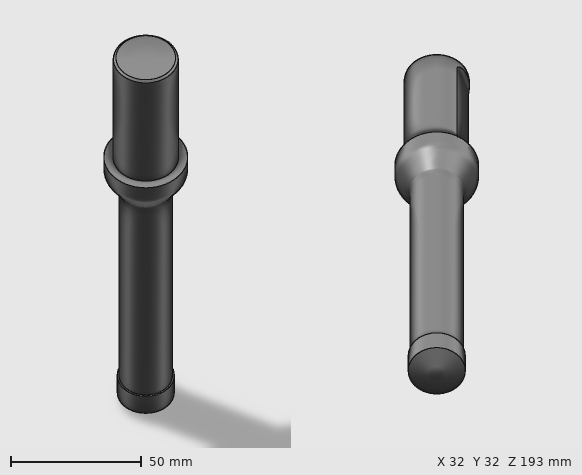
import cadquery as cq
import math

total_length = 193.0

head_diameter = 21.8
point_height = 3.5
head_top = 13.1

neck_diameter = 20.5
neck_top = 116.2
flare_diameter = 21.6
flare_bottom = 119.7
collar_diameter = 32.0
collar_bottom = 130.5
collar_top = 136.8
flare_angle = math.radians(30)

shank_diameter = 25.0
bevel_height = 2.5
bevel_inset = 0.2
step_height = 1.4
step_inset = 0.1
chamfer_height = 0.8
end_diameter = 22.8

flat_distance = 10.5
flat_bottom = 140.5
flat_top = 189.3
flat_fillet_diameter = 4.8


def make_head():
    """Short cylinder with a conical point."""
    radius = head_diameter / 2
    return (
        cq.Workplane("XZ")
        .moveTo(0, 0)
        .lineTo(radius, point_height)
        .lineTo(radius, head_top)
        .lineTo(0, head_top)
        .close()
        .revolve(360, (0, 0, 0), (0, 1, 0))
    )


def make_flat_cutter():
    """Slot across the shank, rounded at both ends of its floor."""
    depth = shank_diameter / 2 - flat_distance
    cutter_depth = 2 * depth
    return (
        cq.Workplane("XY")
        .box(shank_diameter, cutter_depth, flat_top - flat_bottom, centered=(True, False, False))
        .translate((0, flat_distance, flat_bottom))
        .edges("|X and <Y")
        .fillet(flat_fillet_diameter / 2)
    )


def make_holder():
    """Neck, flared collar and shank, turned about Z, with the clamping flat."""
    collar_radius = collar_diameter / 2
    flare_height = collar_bottom - flare_bottom
    flare_width = (collar_diameter - flare_diameter) / 2
    shoulder_radius = (flare_height * math.sin(flare_angle) - flare_width * math.cos(flare_angle)) / (
        1 - math.cos(flare_angle)
    )
    cone_top_radius = collar_radius - shoulder_radius * (1 - math.cos(flare_angle))
    cone_top = collar_bottom - shoulder_radius * math.sin(flare_angle)

    turned = (
        cq.Workplane("XZ")
        .moveTo(0, head_top)
        .lineTo(neck_diameter / 2, head_top)
        .lineTo(neck_diameter / 2, neck_top)
        .tangentArcPoint((flare_diameter / 2, flare_bottom), relative=False)
        .lineTo(cone_top_radius, cone_top)
        .tangentArcPoint((collar_radius, collar_bottom), relative=False)
        .lineTo(collar_radius, collar_top)
        .lineTo(shank_diameter / 2, collar_top)
        .lineTo(shank_diameter / 2, total_length - bevel_height)
        .lineTo(shank_diameter / 2 - step_inset, total_length - step_height)
        .lineTo(shank_diameter / 2 - bevel_inset, total_length - chamfer_height)
        .lineTo(end_diameter / 2, total_length)
        .lineTo(0, total_length)
        .close()
        .revolve(360, (0, 0, 0), (0, 1, 0))
    )
    return turned.cut(make_flat_cutter())


head = make_head()
holder = make_holder()

result = cq.Compound.makeCompound([head.val(), holder.val()])